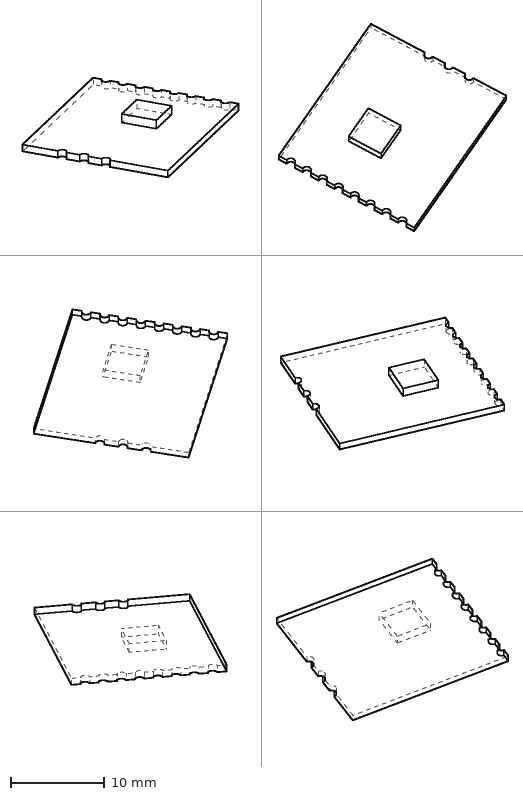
import cadquery as cq

board_width = 17.0
board_length = 19.0
board_thickness = 0.8

chip_size = 4.07
chip_height = 1.0
chip_left_gap = 7.47
chip_back_gap = 5.43

notch_radius = 0.5
back_notch_count = 8
back_notch_start = 1.5
back_notch_pitch = 2.0
front_notch_count = 3
front_notch_start = 4.65
front_notch_pitch = 2.55


def notch_row(start, pitch, count, edge_y):
    """Row of vertical cylinders centred on a board edge."""
    centers = [(start + i * pitch, edge_y) for i in range(count)]
    return cq.Workplane("XY").pushPoints(centers).circle(notch_radius).extrude(board_thickness)


board = cq.Workplane("XY").box(board_width, board_length, board_thickness, centered=False)
board = board.cut(notch_row(back_notch_start, back_notch_pitch, back_notch_count, board_length))
board = board.cut(notch_row(front_notch_start, front_notch_pitch, front_notch_count, 0))

chip_front = board_length - chip_back_gap - chip_size
chip = (
    cq.Workplane("XY")
    .box(chip_size, chip_size, chip_height, centered=False)
    .translate((chip_left_gap, chip_front, board_thickness))
)

result = board.union(chip)